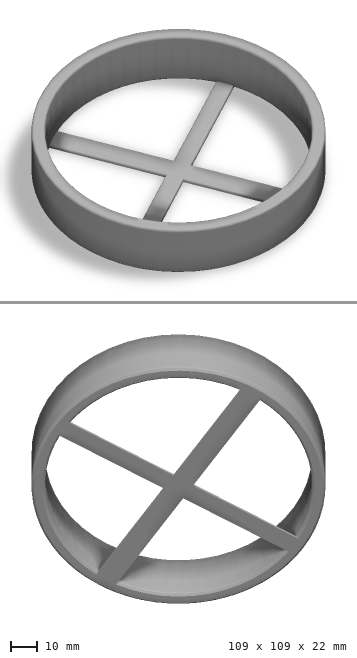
import cadquery as cq

outer_diameter = 109.0
bore_diameter = 99.0
height = 22.0
top_rounding = 1.0
bottom_chamfer = 1.0
chamfer_blend_radius = 0.8

x_spoke_width = 8.5
y_spoke_width = 7.0
spoke_thickness = 1.4
spoke_rounding = 0.8
spoke_length = (outer_diameter + bore_diameter) / 2


def make_ring():
    """Round tube with rounded top rims and chamfered bottom rims blended into the walls."""
    ring = cq.Workplane("XY").circle(outer_diameter / 2).circle(bore_diameter / 2).extrude(height)
    ring = ring.faces(">Z").edges().fillet(top_rounding)
    ring = ring.faces("<Z").edges().chamfer(bottom_chamfer)
    box_bottom = (-outer_diameter, -outer_diameter, bottom_chamfer / 2)
    box_top = (outer_diameter, outer_diameter, bottom_chamfer * 2)
    chamfer_tops = cq.selectors.BoxSelector(box_bottom, box_top)
    return ring.edges("%CIRCLE").edges(chamfer_tops).fillet(chamfer_blend_radius)


def make_spoke(size_x, size_y, long_edges):
    """Flat bar through the centre, with its long upper edges rounded."""
    bar = cq.Workplane("XY").box(size_x, size_y, spoke_thickness, centered=(True, True, False))
    return bar.faces(">Z").edges(long_edges).fillet(spoke_rounding)


x_spoke = make_spoke(spoke_length, x_spoke_width, "|X")
y_spoke = make_spoke(y_spoke_width, spoke_length, "|Y")

result = make_ring().union(x_spoke).union(y_spoke)